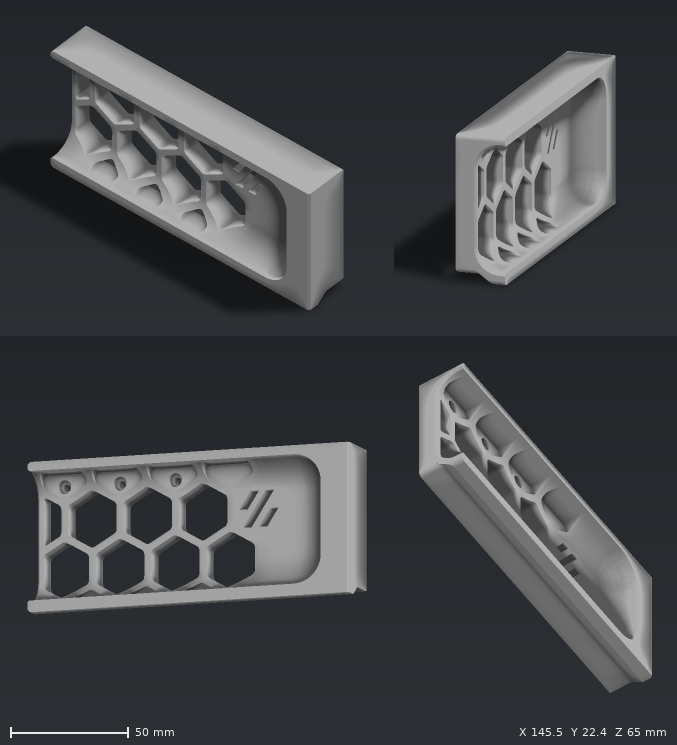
import cadquery as cq
import math

TINY = 0.01

LENGTH = 145.5
DEPTH = 22.4
HEIGHT = 65.0
CORNER_RADIUS = 2.0
BACK_CHAMFER = 0.5
END_CHAMFER = 1.0

STEP_HEIGHT = 4.1
STEP_START_Y = 5.4
STEP_END_Y = 10.9

POCKET_BOTTOM = 5.1
POCKET_TOP = 61.1
POCKET_END_X = 132.7
POCKET_DEPTH = 13.1
POCKET_CORNER_RADIUS = 12.2
POCKET_FLOOR_RADIUS = 10.9
MOUTH_CHAMFER = 0.9

HEX_PITCH = 25.0
HEX_FLATS = 22.0
HEX_RADIUS = 2.5
HEX_SHARP_RADIUS = 1.0
HEX_FIRST_X = 12.2
HEX_LOW_ROW_Z = 19.5
HEX_MARGIN_X = 2.8
BLIND_DEPTH = POCKET_DEPTH
HEX_ROW_RISE = HEX_PITCH * math.sin(math.radians(60))

SCREW_DIAMETER = 3.2
SCREW_HEAD_DIAMETER = 6.0
SCREW_HEAD_DEPTH = 2.9
SCREW_COUNT = 3
SCREW_Z = 55.7

SLOT_WIDTH = 3.8
SLOT_RISE = 7.9
SLOT_LEAN = 5.1
SLOT_BOTTOM_Z = 33.2
SHORT_SLOT_LEFT_X = 91.2
LONG_SLOT_X = 93.0
SHORT_SLOT_RIGHT_X = 100.1


def prism_along_y(points, y_start, y_end):
    """Solid with an outline given as (x, z) points, running from y_start to y_end."""
    plane = cq.Workplane("XZ", origin=(0, y_start, 0))
    return plane.polyline(points).close().extrude(y_start - y_end)


def box_between(x0, x1, y0, y1, z0, z1):
    return cq.Workplane("XY").box(x1 - x0, y1 - y0, z1 - z0, centered=False).translate((x0, y0, z0))


def make_block():
    body = box_between(0, LENGTH, 0, DEPTH, STEP_HEIGHT, HEIGHT)
    body = body.edges("|Y and <X").fillet(CORNER_RADIUS)
    body = body.faces(">Y").edges("not >X").chamfer(BACK_CHAMFER)

    lip_top = STEP_HEIGHT + CORNER_RADIUS
    run_per_rise = (STEP_END_Y - STEP_START_Y) / STEP_HEIGHT
    lip_back = STEP_START_Y + lip_top * run_per_rise
    lip = box_between(0, LENGTH, 0, lip_back, 0, lip_top)
    lip = lip.edges("|Y and <X and <Z").fillet(CORNER_RADIUS)
    lip_profile = [(0, 0), (STEP_START_Y, 0), (lip_back, lip_top), (0, lip_top)]
    lip = lip.intersect(cq.Workplane("YZ").polyline(lip_profile).close().extrude(LENGTH))

    block = body.union(lip)
    return block.edges("|Z and >X and <Y").chamfer(END_CHAMFER)


def cut_pocket(block):
    pocket = box_between(0, POCKET_END_X, 0, POCKET_DEPTH, POCKET_BOTTOM, POCKET_TOP)
    pocket = pocket.edges("|Y and >X").fillet(POCKET_CORNER_RADIUS)
    pocket = pocket.faces(">Y").edges("not <X").fillet(POCKET_FLOOR_RADIUS)
    block = block.cut(pocket)
    mouth = cq.selectors.BoxSelector(
        (-TINY, -TINY, POCKET_BOTTOM - TINY),
        (TINY, POCKET_DEPTH + TINY, POCKET_TOP + TINY),
        boundingbox=True,
    )
    return block.edges(mouth).chamfer(MOUTH_CHAMFER)


def hex_cutter(x, z, depth, trim_radius):
    """Upright rounded hexagonal cell, trimmed to the honeycomb area."""
    corner_reach = HEX_FLATS / 2 / math.cos(math.radians(30))
    corners = []
    for i in range(6):
        angle = math.radians(30 + 60 * i)
        corners.append((x + corner_reach * math.cos(angle), z + corner_reach * math.sin(angle)))
    cell = prism_along_y(corners, 0, depth).edges("|Y").fillet(HEX_RADIUS)
    area = box_between(HEX_MARGIN_X, LENGTH, 0, depth, POCKET_BOTTOM, POCKET_TOP)
    cell = cell.intersect(area)

    trimmed = cell.edges("|Y").filter(is_on_area_boundary)
    return trimmed.fillet(trim_radius) if trimmed.size() else cell


def is_on_area_boundary(edge):
    middle = edge.Center()
    gaps = (middle.x - HEX_MARGIN_X, middle.z - POCKET_BOTTOM, middle.z - POCKET_TOP)
    return min(abs(gap) for gap in gaps) < TINY


def cut_honeycomb(block):
    rows = [
        (-1, HEX_FIRST_X + HEX_PITCH / 2, 3, BLIND_DEPTH, HEX_SHARP_RADIUS),
        (0, HEX_FIRST_X, 4, DEPTH, HEX_RADIUS),
        (1, HEX_FIRST_X - HEX_PITCH / 2, 4, DEPTH, HEX_SHARP_RADIUS),
        (2, HEX_FIRST_X, 4, BLIND_DEPTH, HEX_RADIUS),
    ]
    for row, first_x, count, depth, trim_radius in rows:
        z = HEX_LOW_ROW_Z + row * HEX_ROW_RISE
        for i in range(count):
            block = block.cut(hex_cutter(first_x + i * HEX_PITCH, z, depth, trim_radius))
    return block


def cut_screw_holes(block):
    centres = [(HEX_FIRST_X + i * HEX_PITCH, SCREW_Z) for i in range(SCREW_COUNT)]
    floor = cq.Workplane("XZ", origin=(0, BLIND_DEPTH, 0)).pushPoints(centres)
    heads = floor.circle(SCREW_HEAD_DIAMETER / 2).extrude(-SCREW_HEAD_DEPTH)
    shanks = floor.circle(SCREW_DIAMETER / 2).extrude(BLIND_DEPTH - DEPTH)
    return block.cut(heads).cut(shanks)


def cut_slots(block):
    slots = [
        (SHORT_SLOT_LEFT_X, SLOT_BOTTOM_Z + SLOT_RISE, 1),
        (LONG_SLOT_X, SLOT_BOTTOM_Z, 2),
        (SHORT_SLOT_RIGHT_X, SLOT_BOTTOM_Z, 1),
    ]
    for x, z, size in slots:
        lean = SLOT_LEAN * size
        top = z + SLOT_RISE * size
        outline = [(x, z), (x + SLOT_WIDTH, z), (x + SLOT_WIDTH + lean, top), (x + lean, top)]
        block = block.cut(prism_along_y(outline, 0, DEPTH))
    return block


result = make_block()
result = cut_pocket(result)
result = cut_honeycomb(result)
result = cut_screw_holes(result)
result = cut_slots(result)